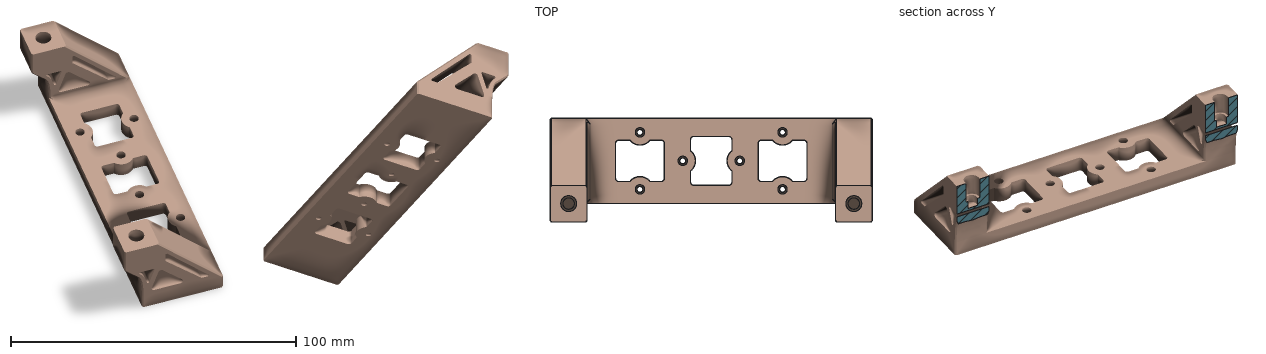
import cadquery as cq

length = 113.0
plate_depth = 30.0
plate_thickness = 5.5
plate_mid_y = plate_depth / 2

arm_width = 13.0
arm_height = 30.5
arm_overhang = 6.5
nose_height = 9.9
nose_fillet = 1.4
slope_top_y = 6.3
underside_blend = 1.7
edge_chamfer = 0.5
foot_fillet = 1.0
outer_x = -length / 2
inner_x = outer_x + arm_width

arm_hole_y = 0.0
arm_bore_diameter = 5.6
arm_bore_depth = 8.0
arm_pilot_diameter = 4.0
arm_pilot_depth = 11.0

window_length = 17.0
window_width = 14.4
window_corner_radius = 1.0
window_spacing = 25.0
screw_offset = 10.0
screw_boss_radius = 4.5
screw_bore_diameter = 3.3
screw_bore_depth = 4.0
screw_pilot_diameter = 2.0

cutout_floor = plate_thickness + 2.0
cutout_small_radius = 0.5
cutout_large_radius = 1.0
slot_back_y = 25.2
slot_front_y = 8.5
slot_floor_length = 3.2
slot_top_z = 25.3
truss_back_y = 16.5
truss_front_y = 3.05
truss_apex = (6.45, 17.7)
web_top = (4.75, 18.4)
web_foot = (2.0, 10.4)
web_bend = (1.4, 15.2)
web_blend = 2.1

bend_z = arm_height - nose_height - arm_overhang

tolerance = 1e-3


def side_plane():
    """Workplane on the outer face of the left arm, with local x along Y and local y along Z."""
    return cq.Workplane("YZ", origin=(outer_x, 0, 0))


def arm_block():
    """Left arm: sloped back, overhanging nose, underside blended into the plate front."""
    nose_corner = (-arm_overhang, arm_height - nose_height)
    blend_start = (-underside_blend, bend_z + underside_blend)
    nose_edge = cq.NearestToPointSelector((outer_x + arm_width / 2, *nose_corner))
    return (
        side_plane()
        .lineTo(plate_depth, 0)
        .lineTo(plate_depth, plate_thickness)
        .lineTo(slope_top_y, arm_height)
        .lineTo(-arm_overhang, arm_height)
        .lineTo(*nose_corner)
        .lineTo(*blend_start)
        .bezier([blend_start, (0, bend_z), (0, plate_thickness)])
        .close()
        .extrude(arm_width)
        .edges(nose_edge)
        .fillet(nose_fillet)
    )


def is_side_edge(edge):
    """True for the rising outline edges of the arm on its outer and inner side faces."""
    box = edge.BoundingBox()
    on_outer = abs(box.xmin - outer_x) < tolerance
    on_inner = abs(box.xmin - inner_x) < tolerance
    return box.xlen < tolerance and box.zlen > tolerance and (on_outer or on_inner)


def half_body():
    """Left arm joined to half of the plate, side edges chamfered and inner foot filleted."""
    plate = cq.Workplane("XY").box(length / 2, plate_depth, plate_thickness, centered=False)
    body = arm_block().union(plate.translate((outer_x, 0, 0)))
    side_edges = [edge for edge in body.edges().vals() if is_side_edge(edge)]
    body = body.newObject(side_edges).chamfer(edge_chamfer)
    foot = cq.NearestToPointSelector((inner_x, plate_mid_y, plate_thickness))
    return body.edges(foot).fillet(foot_fillet)


def arm_cutouts():
    """Slanted slot, truss opening and small web opening through the arm."""
    slot_front_floor_y = slot_back_y - slot_floor_length
    slot_front_z = cutout_floor + slot_front_floor_y - slot_front_y
    slot = (
        side_plane()
        .polyline([
            (slot_back_y, cutout_floor),
            (slot_front_floor_y, cutout_floor),
            (slot_front_y, slot_front_z),
            (slot_front_y, slot_top_z),
        ])
        .close()
        .extrude(arm_width)
        .edges("|X")
        .fillet(cutout_small_radius)
    )
    truss = (
        side_plane()
        .polyline([(truss_back_y, cutout_floor), (truss_front_y, cutout_floor), truss_apex])
        .close()
        .extrude(arm_width)
        .edges("|X")
        .fillet(cutout_large_radius)
    )
    web_end = (web_bend[0] - web_blend, web_bend[1] + web_blend)
    web_corner = (web_bend[0] + web_bend[1] - web_top[1], web_top[1])
    web_corners = cq.selectors.SumSelector(cq.StringSyntaxSelector("<Z"), cq.StringSyntaxSelector(">Z"))
    web = (
        side_plane()
        .moveTo(*web_top)
        .lineTo(*web_foot)
        .bezier([web_foot, web_bend, web_end])
        .lineTo(*web_corner)
        .close()
        .extrude(arm_width)
        .edges("|X")
        .edges(web_corners)
        .fillet(cutout_small_radius)
    )
    return slot.union(truss).union(web)


def stepped_hole(top, bore_diameter, bore_depth, pilot_diameter, pilot_depth):
    """Cutter for a bore with a narrower pilot below it, both measured down from the top point."""
    bore = cq.Workplane("XY", origin=top).circle(bore_diameter / 2).extrude(-bore_depth)
    pilot = cq.Workplane("XY", origin=top).circle(pilot_diameter / 2).extrude(-pilot_depth)
    return bore.union(pilot)


def plate_window():
    """Cutter at the origin: rounded window waisted by two screw bosses, with the screw holes."""
    cutter = (
        cq.Workplane("XY")
        .rect(window_length, window_width)
        .extrude(plate_thickness)
        .edges("|Z")
        .fillet(window_corner_radius)
    )
    screw_points = [(0, -screw_offset), (0, screw_offset)]
    bosses = cq.Workplane("XY").pushPoints(screw_points).circle(screw_boss_radius).extrude(plate_thickness)
    cutter = cutter.cut(bosses)
    for x, y in screw_points:
        top = (x, y, plate_thickness)
        cutter = cutter.union(
            stepped_hole(top, screw_bore_diameter, screw_bore_depth, screw_pilot_diameter, plate_thickness)
        )
    return cutter


def build():
    """Both arms on the full plate, with the screw holes and windows cut."""
    nose_top = (outer_x + arm_width / 2, arm_hole_y, arm_height)
    half = half_body().cut(arm_cutouts())
    half = half.cut(
        stepped_hole(nose_top, arm_bore_diameter, arm_bore_depth, arm_pilot_diameter, arm_pilot_depth)
    )
    part = half.union(half.mirror("YZ"))
    for x, turn in [(-window_spacing, 0), (0, 90), (window_spacing, 0)]:
        window = plate_window().rotate((0, 0, 0), (0, 0, 1), turn)
        part = part.cut(window.translate((x, plate_mid_y, 0)))
    return part


result = build()